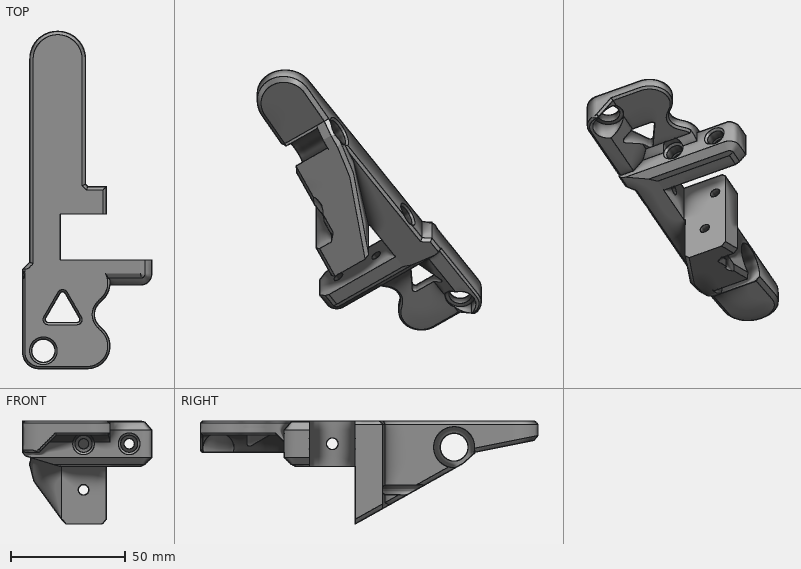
import cadquery as cq
import math

WIDTH = 56.65
LENGTH = 147.99
HEIGHT = 45.2

ARM_LEFT = 3.1
ARM_WIDTH = 24.5
ARM_RADIUS = ARM_WIDTH / 2
ARM_RIGHT = ARM_LEFT + ARM_WIDTH
ARM_MIDDLE = ARM_LEFT + ARM_RADIUS
ARM_ROUND_START = LENGTH - ARM_RADIUS
ARM_CHAMFER = 1.5
STEP_START = 43.6

SLOT_WIDTH = 20.0
SLOT_FRONT = 47.8
SLOT_BACK = SLOT_FRONT + SLOT_WIDTH
SLOT_LEFT = 16.5

BLOCK_RIGHT = 36.7
BLOCK_DEPTH = 12.1
BLOCK_BACK = SLOT_BACK + BLOCK_DEPTH
BLOCK_CORNER_CHAMFER = 1.0
WEDGE_LEFT = 17.1
WEDGE_TURN = (4.9, 97.7)
WEDGE_MERGE_Y = 110.0
WEDGE_CHAMFER = 1.8

TIP_DEPTH = 8.2
KNEE = (120.6, -13.7)
WEDGE_TOP = (115.2, -18.6)

BAR_FRONT = 36.7
BAR_DEPTH = SLOT_FRONT - BAR_FRONT
BAR_THICKNESS = 20.0
BEVEL = 4.0
BEVEL_INSET = 5.0
BEVEL_STEEP_INSET = 3.0
TOP_EASE = 0.5
BOTTOM_EASE = 1.0
SLOPE_RISE = 5.0
SLOPE_CHAMFER = 1.2

PLATE_THICKNESS = 13.8
THIN_THICKNESS = 6.2
PLATE_CORNER = 7.2
RAMP_START = PLATE_CORNER
PLATE_CHAMFER = 1.0
PLATE_OVERLAP = 44.0
RIB_CHAMFER = 3.0
LOBE_RADIUS = 10.0
LOBE_X = 28.3
LOBE_SPACING = 27.6
NOTCH_LEFT = 31.5

TRIANGLE_X = 17.5
TRIANGLE_BASE_Y = 20.3
TRIANGLE_SIDE = 17.0
TRIANGLE_ROUND = 1.3
WINDOW_CHAMFER = 1.0

SCREW_Z = -10.0
CORNER_HOLE = (9.1, 7.9)
CORNER_HOLE_D = 10.1
CORNER_WALL = 5.2
CORNER_RECESS_D = 13.5
CROSS_HOLE = (111.2, -11.5)
CROSS_HOLE_D = 12.1
CROSS_WALL = 6.0
CROSS_RECESS_D = 18.0
HOLE_CHAMFER = 1.0
BAR_SCREW_D = 4.5
BAR_HEAD_D = 7.5
BAR_HEAD_DEPTH = 5.0
BAR_SCREW_X = 26.7
BAR_SCREW_SPACING = 20.0
SIDE_SCREW_D = 5.0
SIDE_HEAD_D = 9.0
SIDE_HEAD_DEPTH = 7.0
BLOCK_HOLE_D = 4.5
BLOCK_HOLE_X = 31.7
TAB_HOLE_Z = -30.2

OVERSHOOT = 5.0
SMALL = 0.01


def prism_x(points, left, right):
    """Extrude a (y, z) outline along X."""
    return cq.Workplane("YZ").workplane(offset=left).polyline(points).close().extrude(right - left)


def prism_y(points, front, back):
    """Extrude an (x, z) outline along Y."""
    return cq.Workplane("XZ").workplane(offset=-back).polyline(points).close().extrude(back - front)


def bore(point, direction, diameter, depth, chamfer=0.0):
    """Cylinder from a point into the part, widened by a 45 degree chamfer at its mouth."""
    start = cq.Vector(*point)
    axis = cq.Vector(*direction)
    tool = cq.Solid.makeCylinder(diameter / 2, depth, start, axis)
    if chamfer:
        cone = cq.Solid.makeCone(diameter / 2 + chamfer, diameter / 2, chamfer, start, axis)
        tool = tool.fuse(cone)
    return cq.Workplane(tool)


def edges_between(body, low, high):
    """Edges whose centre lies between two opposite corners."""
    return body.edges(cq.selectors.BoxSelector(low, high))


def bevel_profile(run):
    """(outward, z) section of the bar's outside: two-step bevels above and below a flat."""
    upper = [
        (run - BEVEL_INSET, 0),
        (run - BEVEL_STEEP_INSET, -TOP_EASE),
        (run, -BEVEL),
    ]
    lower = [
        (run, BEVEL - BAR_THICKNESS),
        (run - BEVEL_STEEP_INSET, BOTTOM_EASE - BAR_THICKNESS),
        (run - BEVEL_INSET, -BAR_THICKNESS),
    ]
    return upper + lower


def bar_section():
    """(y, z) section of the bar."""
    section = [(SLOT_FRONT - u, z) for u, z in bevel_profile(BAR_DEPTH)]
    return section + [(SLOT_FRONT, -BAR_THICKNESS), (SLOT_FRONT, 0)]


def side_profile():
    """Everything above the slanted underside of the arm and wedge."""
    points = [
        (STEP_START, 0),
        (LENGTH, 0),
        (LENGTH, -TIP_DEPTH),
        KNEE,
        WEDGE_TOP,
        (SLOT_BACK, -HEIGHT),
        (STEP_START, -HEIGHT),
    ]
    return prism_x(points, 0, WIDTH)


def below_slope():
    """Space under the sloping belly of the arm and bar."""
    points = [
        (0, SLOPE_RISE - BAR_THICKNESS),
        (SLOT_LEFT, -BAR_THICKNESS),
        (WIDTH, -BAR_THICKNESS),
        (WIDTH, -HEIGHT),
        (0, -HEIGHT),
    ]
    return prism_y(points, 0, LENGTH)


def chamfer_top(arm):
    """Break the top edges of the arm and block, but not those of the slot."""
    left = edges_between(arm, (-SMALL, STEP_START, -SMALL), (ARM_LEFT + SMALL, LENGTH, SMALL))
    right = edges_between(arm, (ARM_MIDDLE - SMALL, SLOT_BACK + SMALL, -SMALL), (WIDTH, LENGTH, SMALL))
    return left.add(right).chamfer(ARM_CHAMFER)


def chamfer_underside(arm):
    """Break the edges between the underside and the walls of the arm and wedge."""
    def looks_down_and_back(face):
        if face.geomType() != "PLANE":
            return False
        normal = face.normalAt()
        return abs(normal.x) < SMALL and normal.y > SMALL and normal.z < -SMALL

    def is_long(edge):
        return edge.Length() > 2 * BLOCK_CORNER_CHAMFER

    underside = arm.faces().filter(looks_down_and_back)
    arm = underside.edges("not |X").filter(is_long).chamfer(WEDGE_CHAMFER)
    low = (-SMALL, BAR_FRONT + SMALL, -BAR_THICKNESS)
    high = (ARM_LEFT + SMALL, WEDGE_TURN[1], -PLATE_THICKNESS)
    return edges_between(arm, low, high).edges("not |Z").chamfer(SLOPE_CHAMFER)


def make_arm():
    """Arm, block behind the slot, and the wedge below them."""
    outline = (
        cq.Workplane("XY")
        .moveTo(0, BAR_FRONT)
        .lineTo(0, STEP_START)
        .lineTo(ARM_LEFT, STEP_START + ARM_LEFT)
        .lineTo(ARM_LEFT, ARM_ROUND_START)
        .threePointArc((ARM_MIDDLE, LENGTH), (ARM_RIGHT, ARM_ROUND_START))
        .lineTo(ARM_RIGHT, BLOCK_BACK + BLOCK_CORNER_CHAMFER)
        .lineTo(ARM_RIGHT + BLOCK_CORNER_CHAMFER, BLOCK_BACK)
        .lineTo(BLOCK_RIGHT, BLOCK_BACK)
        .lineTo(BLOCK_RIGHT, SLOT_BACK)
        .lineTo(SLOT_LEFT, SLOT_BACK)
        .lineTo(SLOT_LEFT, BAR_FRONT)
        .close()
    )
    arm = outline.extrude(-HEIGHT).cut(below_slope())
    front_part = arm.intersect(prism_x(bar_section(), 0, SLOT_LEFT))
    arm = arm.intersect(side_profile()).union(front_part).clean()
    wedge_points = [
        (WEDGE_LEFT, SLOT_BACK),
        WEDGE_TURN,
        (ARM_LEFT, WEDGE_MERGE_Y),
        (ARM_LEFT, KNEE[0]),
        (ARM_RIGHT, KNEE[0]),
        (ARM_RIGHT, BLOCK_BACK + BLOCK_CORNER_CHAMFER),
        (ARM_RIGHT + BLOCK_CORNER_CHAMFER, BLOCK_BACK),
        (BLOCK_RIGHT, BLOCK_BACK),
        (BLOCK_RIGHT, SLOT_BACK),
    ]
    wedge = cq.Workplane("XY").polyline(wedge_points).close().extrude(-HEIGHT).intersect(side_profile())
    arm = arm.union(wedge).clean()
    arm = chamfer_top(arm)
    return chamfer_underside(arm)


def make_bar():
    """Bar with bevelled front and end, and the bevel turned around its outer corner."""
    corner_x = WIDTH - BEVEL_INSET
    corner_y = BAR_FRONT + BEVEL_INSET
    front = prism_x(bar_section(), SLOT_LEFT / 2, corner_x).cut(below_slope())
    end_section = [(corner_x + u, z) for u, z in bevel_profile(BEVEL_INSET)]
    end = prism_y(end_section, corner_y, SLOT_FRONT)
    corner = (
        cq.Workplane("XZ")
        .polyline(bevel_profile(BEVEL_INSET))
        .close()
        .revolve(360, (0, 0), (0, 1))
        .translate((corner_x, corner_y, 0))
    )
    return front.union(end).union(corner)


def plate_outline():
    """Plan of the front plate: two round lobes with a notch between them."""
    diagonal = math.sqrt(0.5)
    lower_y = LOBE_RADIUS
    upper_y = LOBE_RADIUS + LOBE_SPACING
    notch_y = (lower_y + upper_y) / 2
    reach = NOTCH_LEFT - LOBE_X + LOBE_SPACING / 2 - LOBE_RADIUS / diagonal
    notch_radius = reach / (1 / diagonal - 1)
    notch_x = NOTCH_LEFT + notch_radius

    lobe_step = LOBE_RADIUS * diagonal
    notch_step = notch_radius * diagonal
    half_overlap = PLATE_OVERLAP - upper_y
    overlap_x = LOBE_X + math.sqrt(LOBE_RADIUS ** 2 - half_overlap ** 2)
    corner_step = PLATE_CORNER * (1 - diagonal)
    return (
        cq.Workplane("XY")
        .moveTo(PLATE_CORNER, 0)
        .lineTo(LOBE_X, 0)
        .threePointArc((LOBE_X + LOBE_RADIUS, lower_y), (LOBE_X + lobe_step, lower_y + lobe_step))
        .lineTo(notch_x - notch_step, notch_y - notch_step)
        .threePointArc((NOTCH_LEFT, notch_y), (notch_x - notch_step, notch_y + notch_step))
        .lineTo(LOBE_X + lobe_step, upper_y - lobe_step)
        .threePointArc((LOBE_X + LOBE_RADIUS, upper_y), (overlap_x, PLATE_OVERLAP))
        .lineTo(ARM_LEFT, PLATE_OVERLAP)
        .lineTo(0, STEP_START)
        .lineTo(0, PLATE_CORNER)
        .threePointArc((corner_step, corner_step), (PLATE_CORNER, 0))
        .close()
    )


def make_plate():
    """Plate hollowed from below by a 45 degree ramp, with a sloped rib along the bar."""
    plate = plate_outline().extrude(-PLATE_THICKNESS)
    ramp = PLATE_THICKNESS - THIN_THICKNESS
    hollow_points = [
        (RAMP_START, -PLATE_THICKNESS),
        (RAMP_START + ramp, -THIN_THICKNESS),
        (WIDTH, -THIN_THICKNESS),
        (WIDTH, -HEIGHT),
        (RAMP_START, -HEIGHT),
    ]
    hollow = prism_y(hollow_points, -OVERSHOOT, BAR_FRONT)
    rib_low = (RAMP_START + ramp, BAR_FRONT - SMALL, -THIN_THICKNESS - SMALL)
    rib_high = (WIDTH, BAR_FRONT + SMALL, -THIN_THICKNESS + SMALL)
    hollow = edges_between(hollow, rib_low, rib_high).chamfer(RIB_CHAMFER)
    behind = cq.Workplane("XY").box(WIDTH, BAR_DEPTH, HEIGHT, centered=False)
    behind = behind.translate((0, BAR_FRONT, -THIN_THICKNESS - HEIGHT))
    plate = plate.cut(hollow).cut(behind)

    rim_low = (-SMALL, -SMALL, -SMALL)
    rim_high = (WIDTH, STEP_START - SMALL, SMALL)
    plate = edges_between(plate, rim_low, rim_high).chamfer(PLATE_CHAMFER)

    thick_low = (-SMALL, -SMALL, -PLATE_THICKNESS - SMALL)
    thick_high = (RAMP_START - SMALL, BAR_FRONT - SMALL, -PLATE_THICKNESS + SMALL)
    front_low = (RAMP_START + SMALL, -SMALL, -PLATE_THICKNESS)
    front_high = (LOBE_X - SMALL, SMALL, -THIN_THICKNESS + SMALL)
    lobe_low = (LOBE_X, -SMALL, -THIN_THICKNESS - SMALL)
    lobe_high = (WIDTH, BAR_FRONT - RIB_CHAMFER, -THIN_THICKNESS + SMALL)
    rim = edges_between(plate, thick_low, thick_high)
    rim = rim.add(edges_between(plate, front_low, front_high))
    rim = rim.add(edges_between(plate, lobe_low, lobe_high))
    return rim.chamfer(PLATE_CHAMFER)


def cut_window(body):
    """Triangular window with rounded corners and a chamfered mouth."""
    def triangle(growth):
        side = TRIANGLE_SIDE + growth * 2 * math.sqrt(3)
        base_y = TRIANGLE_BASE_Y - growth
        apex_y = base_y + side * math.sqrt(3) / 2
        points = [
            (TRIANGLE_X - side / 2, base_y),
            (TRIANGLE_X + side / 2, base_y),
            (TRIANGLE_X, apex_y),
        ]
        solid = cq.Workplane("XY").polyline(points).close().extrude(-PLATE_THICKNESS)
        return solid.edges("|Z").fillet(TRIANGLE_ROUND + growth)

    outer = triangle(WINDOW_CHAMFER)
    mouth = outer.faces("<Z").chamfer(WINDOW_CHAMFER)
    mouth = mouth.translate((0, 0, PLATE_THICKNESS - WINDOW_CHAMFER))
    return body.cut(triangle(0)).cut(mouth)


def cut_holes(body):
    """All round holes of the part."""
    body = body.cut(bore((*CORNER_HOLE, 0), (0, 0, -1), CORNER_HOLE_D, HEIGHT, HOLE_CHAMFER))
    recess_floor = (*CORNER_HOLE, -CORNER_WALL)
    body = body.cut(bore(recess_floor, (0, 0, -1), CORNER_RECESS_D, PLATE_THICKNESS))

    body = body.cut(bore((ARM_LEFT, *CROSS_HOLE), (1, 0, 0), CROSS_HOLE_D, WIDTH, HOLE_CHAMFER))
    recess_mouth = (ARM_LEFT + CROSS_WALL, *CROSS_HOLE)
    body = body.cut(bore(recess_mouth, (1, 0, 0), CROSS_RECESS_D, WIDTH))

    side_mouth = (ARM_LEFT, SLOT_FRONT + SLOT_WIDTH / 2, SCREW_Z)
    body = body.cut(bore(side_mouth, (1, 0, 0), SIDE_SCREW_D, WIDTH))
    body = body.cut(bore(side_mouth, (1, 0, 0), SIDE_HEAD_D, SIDE_HEAD_DEPTH, HOLE_CHAMFER))

    for x in (BAR_SCREW_X, BAR_SCREW_X + BAR_SCREW_SPACING):
        mouth = (x, BAR_FRONT, SCREW_Z)
        body = body.cut(bore(mouth, (0, 1, 0), BAR_SCREW_D, BAR_DEPTH))
        body = body.cut(bore(mouth, (0, 1, 0), BAR_HEAD_D, BAR_HEAD_DEPTH, HOLE_CHAMFER))
        rib_mouth = (x, BAR_FRONT - RIB_CHAMFER, SCREW_Z)
        access_d = BAR_HEAD_D + 2 * HOLE_CHAMFER
        body = body.cut(bore(rib_mouth, (0, 1, 0), access_d, RIB_CHAMFER))

    block_mouth = (BLOCK_HOLE_X, SLOT_BACK, SCREW_Z)
    body = body.cut(bore(block_mouth, (0, 1, 0), BLOCK_HOLE_D, BLOCK_DEPTH))
    tab_mouth = (BAR_SCREW_X, SLOT_BACK, TAB_HOLE_Z)
    return body.cut(bore(tab_mouth, (0, 1, 0), BLOCK_HOLE_D, LENGTH))


result = make_arm().union(make_bar()).union(make_plate()).clean()
result = cut_window(result)
result = cut_holes(result)